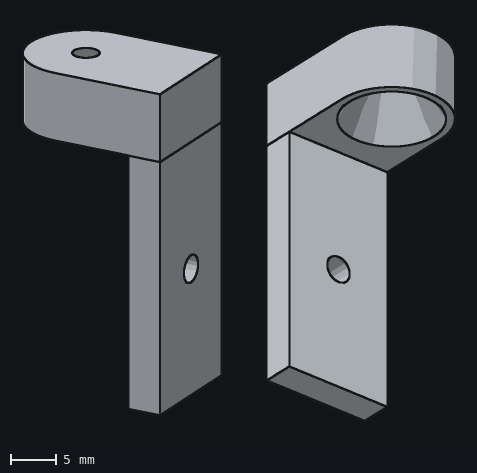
import cadquery as cq

total_length = 20.25
width = 14.0
total_height = 38.0

block_height = 8.0
hole_top_diameter = 3.0
hole_bottom_diameter = 12.0
plate_thickness = 4.0
plate_hole_diameter = 3.2

nose_radius = width / 2
plate_height = total_height - block_height
back_x = total_length - nose_radius


def make_block():
    """Round-nosed block with a conical hole, widening downward, on the nose axis."""
    outline = (
        cq.Workplane("XY")
        .workplane(offset=plate_height)
        .moveTo(0, -nose_radius)
        .lineTo(back_x, -nose_radius)
        .lineTo(back_x, nose_radius)
        .lineTo(0, nose_radius)
        .threePointArc((-nose_radius, 0), (0, -nose_radius))
        .close()
    )
    block = outline.extrude(block_height)
    hole = cq.Solid.makeCone(
        hole_bottom_diameter / 2,
        hole_top_diameter / 2,
        block_height,
        pnt=cq.Vector(0, 0, plate_height),
    )
    return block.cut(cq.Workplane(hole))


def make_plate():
    """Upright plate below the back of the block, with a hole through its centre."""
    plate = cq.Workplane("XY").box(
        plate_thickness, width, plate_height, centered=(False, True, False)
    )
    plate = plate.faces("<X").workplane(centerOption="CenterOfBoundBox").hole(plate_hole_diameter)
    return plate.translate((back_x - plate_thickness, 0, 0))


block = make_block()
plate = make_plate()

result = cq.Compound.makeCompound([block.val(), plate.val()])